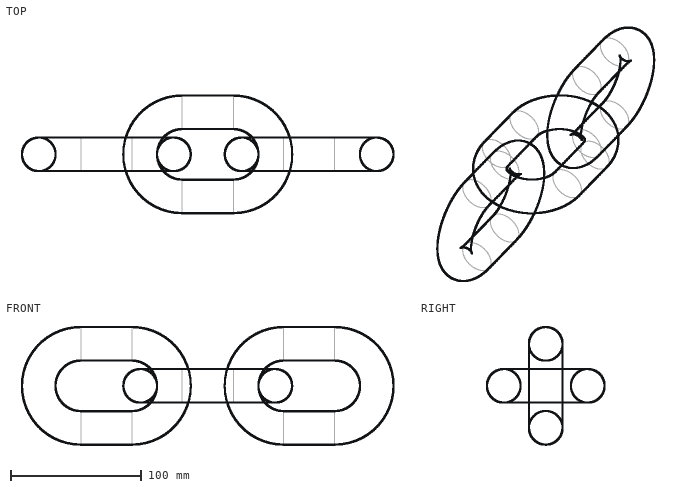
import cadquery as cq

CHAIN_LENGTH = 286.0
LINK_WIDTH = 90.5
LINK_COUNT = 3
PITCH_IN_WIRE_DIAMETERS = 3

WIRE_DIAMETER = CHAIN_LENGTH / (LINK_COUNT * PITCH_IN_WIRE_DIAMETERS + 2)
PITCH = PITCH_IN_WIRE_DIAMETERS * WIRE_DIAMETER
LINK_LENGTH = PITCH + 2 * WIRE_DIAMETER
STRAIGHT_LENGTH = LINK_LENGTH - LINK_WIDTH
BEND_RADIUS = (LINK_WIDTH - WIRE_DIAMETER) / 2

QUARTER_TURN = 90


def chain_link():
    """Round-wire link lying flat in the XY plane, centred on the origin."""
    half_straight = STRAIGHT_LENGTH / 2
    centre_line = (
        cq.Workplane("XY")
        .moveTo(0, BEND_RADIUS)
        .lineTo(half_straight, BEND_RADIUS)
        .threePointArc((half_straight + BEND_RADIUS, 0), (half_straight, -BEND_RADIUS))
        .lineTo(-half_straight, -BEND_RADIUS)
        .threePointArc((-half_straight - BEND_RADIUS, 0), (-half_straight, BEND_RADIUS))
        .close()
    )
    wire_section = cq.Workplane("YZ", origin=(0, BEND_RADIUS, 0)).circle(WIRE_DIAMETER / 2)
    return wire_section.sweep(centre_line)


links = []
for index in range(LINK_COUNT):
    link = chain_link()
    if index % 2 == 0:
        link = link.rotate((0, 0, 0), (1, 0, 0), QUARTER_TURN)
    x_centre = (index - (LINK_COUNT - 1) / 2) * PITCH
    links.append(link.translate((x_centre, 0, 0)))

result = cq.Compound.makeCompound([link.val() for link in links])